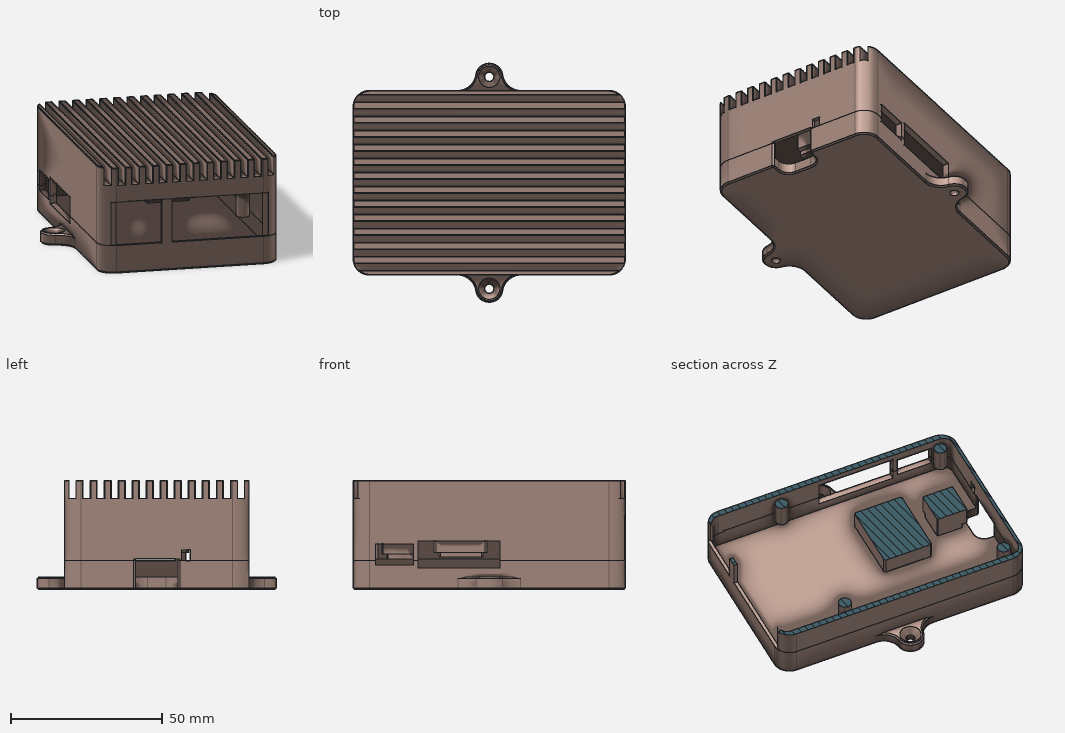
import cadquery as cq
import math

LENGTH = 90.0
WIDTH = 61.0
HEIGHT = 36.0
CORNER_RADIUS = 5.5
PARTING_Z = 9.5
EDGE_CHAMFER = 0.5

END_WALL = 1.2
SIDE_WALL = 2.2
FLOOR_TOP = 4.0
INNER_LENGTH = LENGTH - 2 * END_WALL
INNER_WIDTH = WIDTH - 2 * SIDE_WALL
CEILING_Z = 25.0

LIP_TOP = 10.05
LIP_THICKNESS = 1.0
LIP_LENGTH = INNER_LENGTH - 2 * CORNER_RADIUS

EAR_RADIUS = 4.5
EAR_Y = 35.0
EAR_BLEND = 6.0
EAR_TOP = FLOOR_TOP
SCREW_HOLE = 3.0
COUNTERSINK = 7.0

GROOVE_COUNT = 13
GROOVE_PITCH = 4.635
GROOVE_WIDTH = 2.25
GROOVE_FLOOR_Z = 30.0
FIN_CHAMFER = 0.25

SMALL_WINDOW = (-37.5, -25.1, 8.0, 15.0)
LARGE_WINDOW = (-23.5, 3.5, 7.0, 16.0)

PORT_WIDTH = 53.6
PORT_TOP = 24.3

DIVIDER_Y = -7.85
DIVIDER_WIDTH = 3.5

CARD_NOTCH_WIDTH = 14.0
CARD_NOTCH_DEPTH = 7.0
CARD_NOTCH_RADIUS = 4.0
CARD_NOTCH_CHAMFER = 0.65

SLOT_Y = -9.6
SLOT_WIDTH = 2.8
SLOT_TOP = 13.0

POST_X = (-39.0, 19.0)
POST_Y = (-24.5, 24.5)
POST_DIAMETER = 4.4

PROCESSOR_BLOCK = (-18.2, -0.8, -10.5, 13.2, 12.2, 0.6)
PROCESSOR_TIP = (-16.6, -2.1, -2.75, 11.75, 10.7, 0.5)
RADIO_BLOCK = (-35.4, -24.4, -7.4, 4.0, 11.6, 0.3)
RADIO_TIP = (-33.7, -24.4, -5.7, 4.0, LIP_TOP, 0.3)


def box(x0, x1, y0, y1, z0, z1):
    """Axis-aligned box between the given limits."""
    return cq.Workplane("XY").box(x1 - x0, y1 - y0, z1 - z0, centered=False).translate((x0, y0, z0))


def rounded_block(z0, z1):
    """Full enclosure outline between two heights."""
    block = cq.Workplane("XY").workplane(offset=z0).rect(LENGTH, WIDTH).extrude(z1 - z0)
    return block.edges("|Z").fillet(CORNER_RADIUS)


def cavity(z0, z1):
    """Rectangular inside space between two heights."""
    half_x = INNER_LENGTH / 2
    half_y = INNER_WIDTH / 2
    inner = box(-half_x, half_x, -half_y, half_y, z0, z1)
    return inner.edges("|Z").fillet(CORNER_RADIUS - SIDE_WALL)


def lip(side):
    """Locating lip on the +Y or -Y tray wall."""
    strip = cq.Workplane("XY").box(LIP_LENGTH, LIP_THICKNESS, LIP_TOP - PARTING_Z)
    return strip.translate((0, side * (INNER_WIDTH + LIP_THICKNESS) / 2, (PARTING_Z + LIP_TOP) / 2))


def window(limits):
    """Connector window through the -Y wall."""
    x0, x1, z0, z1 = limits
    wall_y = -WIDTH / 2
    return box(x0, x1, wall_y, wall_y + SIDE_WALL, z0, z1)


def ear(side):
    """Mounting ear on the +Y or -Y side, blended into the wall by tangent arcs."""
    wall_y = WIDTH / 2
    rise = EAR_Y - wall_y
    foot_x = math.sqrt((EAR_RADIUS + EAR_BLEND) ** 2 - (EAR_BLEND - rise) ** 2)
    blend_y = wall_y + EAR_BLEND
    share = EAR_RADIUS / (EAR_RADIUS + EAR_BLEND)
    tangent_x = foot_x * share
    tangent_y = EAR_Y + (blend_y - EAR_Y) * share

    foot_angle = -math.pi / 2
    tangent_angle = math.atan2(tangent_y - blend_y, tangent_x - foot_x)
    if tangent_angle > 0:
        tangent_angle -= 2 * math.pi
    mid_angle = (foot_angle + tangent_angle) / 2
    mid_x = foot_x + EAR_BLEND * math.cos(mid_angle)
    mid_y = blend_y + EAR_BLEND * math.sin(mid_angle)
    root_y = wall_y - SIDE_WALL

    outline = (
        cq.Workplane("XY")
        .moveTo(-foot_x, root_y)
        .lineTo(-foot_x, wall_y)
        .threePointArc((-mid_x, mid_y), (-tangent_x, tangent_y))
        .threePointArc((0, EAR_Y + EAR_RADIUS), (tangent_x, tangent_y))
        .threePointArc((mid_x, mid_y), (foot_x, wall_y))
        .lineTo(foot_x, root_y)
        .close()
    )
    body = outline.extrude(EAR_TOP).faces(">Z or <Z").chamfer(EDGE_CHAMFER)
    sink_depth = (COUNTERSINK - SCREW_HOLE) / 2
    hole = cq.Workplane("XY").center(0, EAR_Y).circle(SCREW_HOLE / 2).extrude(EAR_TOP)
    sink = cq.Workplane("XY").add(
        cq.Solid.makeCone(
            SCREW_HOLE / 2, COUNTERSINK / 2, sink_depth, cq.Vector(0, EAR_Y, EAR_TOP - sink_depth)
        )
    )
    body = body.cut(hole).cut(sink)
    return body if side > 0 else body.mirror("XZ")


def card_notch():
    """Card access: a chamfered gap in the -X wall that runs into a round-cornered notch in the floor."""
    wall_x = -LENGTH / 2
    half = CARD_NOTCH_WIDTH / 2
    notch = box(wall_x, wall_x + CARD_NOTCH_DEPTH, -half, half, 0, FLOOR_TOP)
    notch = notch.edges("|Z and >X").fillet(CARD_NOTCH_RADIUS)
    gap = box(wall_x, wall_x + END_WALL, -half, half, 0, LIP_TOP)
    mouth = (
        cq.Workplane("XY")
        .moveTo(wall_x, half + CARD_NOTCH_CHAMFER)
        .lineTo(wall_x, -half - CARD_NOTCH_CHAMFER)
        .lineTo(wall_x + CARD_NOTCH_CHAMFER, -half)
        .lineTo(wall_x + CARD_NOTCH_CHAMFER, half)
        .close()
        .extrude(LIP_TOP)
    )
    return notch.union(gap).union(mouth)


def make_tray():
    """Lower body: open tray with two mounting ears."""
    tray = rounded_block(0, PARTING_Z).cut(card_notch()).faces("<Z").chamfer(EDGE_CHAMFER)
    for side in (-1, 1):
        tray = tray.union(ear(side))
    tray = tray.cut(cavity(FLOOR_TOP, PARTING_Z))
    for side in (-1, 1):
        tray = tray.union(lip(side))

    divider = box(
        INNER_LENGTH / 2,
        LENGTH / 2,
        DIVIDER_Y - DIVIDER_WIDTH / 2,
        DIVIDER_Y + DIVIDER_WIDTH / 2,
        PARTING_Z,
        PORT_TOP,
    )
    tray = tray.union(divider)
    for limits in (SMALL_WINDOW, LARGE_WINDOW):
        tray = tray.cut(window(limits))
    return tray


def contact_block(limits):
    """Block that hangs from the ceiling, with chamfered upright edges."""
    x0, x1, y0, y1, z0, chamfer = limits
    block = box(x0, x1, y0, y1, z0, CEILING_Z)
    return block.edges("|Z").chamfer(chamfer)


def groove(y):
    """Cutter for one fin groove, flared by the fin chamfer at the top and at both ends."""
    half = GROOVE_WIDTH / 2
    end_x = LENGTH / 2
    cutter = box(-end_x, end_x, y - half, y + half, GROOVE_FLOOR_Z, HEIGHT)
    flare = (
        cq.Workplane("YZ", origin=(-end_x, 0, 0))
        .moveTo(y - half - FIN_CHAMFER, HEIGHT)
        .lineTo(y + half + FIN_CHAMFER, HEIGHT)
        .lineTo(y + half, HEIGHT - FIN_CHAMFER)
        .lineTo(y - half, HEIGHT - FIN_CHAMFER)
        .close()
        .extrude(LENGTH)
    )
    cutter = cutter.union(flare)
    for side in (-1, 1):
        mouth = (
            cq.Workplane("XY", origin=(0, 0, GROOVE_FLOOR_Z))
            .moveTo(side * end_x, y - half - FIN_CHAMFER)
            .lineTo(side * end_x, y + half + FIN_CHAMFER)
            .lineTo(side * (end_x - FIN_CHAMFER), y + half)
            .lineTo(side * (end_x - FIN_CHAMFER), y - half)
            .close()
            .extrude(HEIGHT - GROOVE_FLOOR_Z)
        )
        cutter = cutter.union(mouth)
    return cutter


def make_cover():
    """Upper body: finned heat sink cover with openings, board posts and contact blocks."""
    cover = rounded_block(PARTING_Z, HEIGHT).faces(">Z").chamfer(FIN_CHAMFER)
    for index in range(GROOVE_COUNT):
        cover = cover.cut(groove((index - (GROOVE_COUNT - 1) / 2) * GROOVE_PITCH))

    cover = cover.cut(cavity(PARTING_Z, CEILING_Z))
    for side in (-1, 1):
        cover = cover.cut(lip(side))

    posts = (
        cq.Workplane("XY", origin=(0, 0, LIP_TOP))
        .pushPoints([(x, y) for x in POST_X for y in POST_Y])
        .circle(POST_DIAMETER / 2)
        .extrude(CEILING_Z - LIP_TOP)
    )
    cover = cover.union(posts)
    for limits in (PROCESSOR_BLOCK, PROCESSOR_TIP, RADIO_BLOCK, RADIO_TIP):
        cover = cover.union(contact_block(limits))

    end_x = LENGTH / 2
    ports = box(end_x - END_WALL, end_x, -PORT_WIDTH / 2, PORT_WIDTH / 2, PARTING_Z, PORT_TOP)
    slot_front = SLOT_Y - SLOT_WIDTH / 2
    slot = box(-end_x, -end_x + END_WALL, slot_front, slot_front + SLOT_WIDTH, PARTING_Z, SLOT_TOP)
    cover = cover.cut(ports).cut(slot).cut(card_notch())
    for limits in (SMALL_WINDOW, LARGE_WINDOW):
        cover = cover.cut(window(limits))
    return cover


tray = make_tray()
cover = make_cover()
result = cq.Compound.makeCompound([tray.val(), cover.val()])